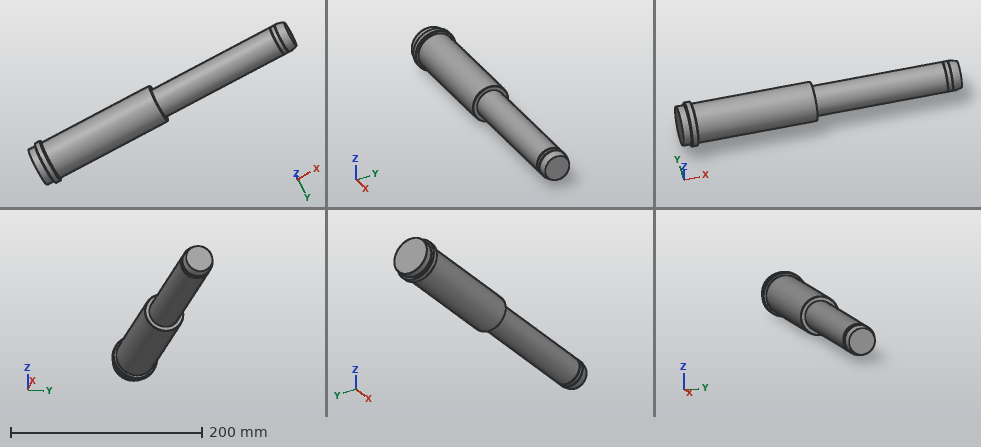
import cadquery as cq

length = 300.0
body_radius = 42.0 / 2
collar_radius = 47.0 / 2
shank_radius = 32.0 / 2
head_chamfer = 0.3

collar_start = 9.0
collar_width = 6.3
collar_chamfer = 0.45
relief_width = 1.0
relief_depth = 0.3

body_end = 144.0
lead_length = 5.5
lead_drop = 0.15
shoulder_chamfer = 0.5

nose_length = 7.0
nose_tip_radius = 14.0
nose_mid_radius = 15.3
ring_positions = [284.0, 289.5]
ring_width = 1.0
ring_depth = 0.3


def cylinder(start, width, radius):
    """Solid cylinder along X that begins at the given X."""
    return cq.Workplane("YZ", origin=(start, 0, 0)).circle(radius).extrude(width)


def pin():
    """Body, shoulder, shank and nose, revolved from one half outline."""
    lead_radius = body_radius - lead_drop
    outline = (
        cq.Workplane("XY")
        .lineTo(0, body_radius - head_chamfer)
        .lineTo(head_chamfer, body_radius)
        .lineTo(body_end - lead_length, body_radius)
        .lineTo(body_end - shoulder_chamfer, lead_radius)
        .lineTo(body_end, lead_radius - shoulder_chamfer)
        .lineTo(body_end, shank_radius)
        .lineTo(length - nose_length, shank_radius)
        .threePointArc((length - nose_length / 2, nose_mid_radius), (length, nose_tip_radius))
        .lineTo(length, 0)
        .close()
    )
    return outline.revolve(360, (0, 0, 0), (1, 0, 0))


def collar():
    """Flange standing proud of the body, chamfered on both rims."""
    return cylinder(collar_start, collar_width, collar_radius).edges().chamfer(collar_chamfer)


def ring_groove(start, width, surface_radius, depth):
    """Thin tube that cuts one shallow ring into a cylinder of the given surface radius."""
    outer = cylinder(start, width, surface_radius + depth)
    inner = cylinder(start, width, surface_radius - depth)
    return outer.cut(inner)


result = pin()
for position in [collar_start - relief_width, collar_start + collar_width]:
    result = result.cut(ring_groove(position, relief_width, body_radius, relief_depth))
for position in ring_positions:
    result = result.cut(ring_groove(position, ring_width, shank_radius, ring_depth))
result = result.union(collar())